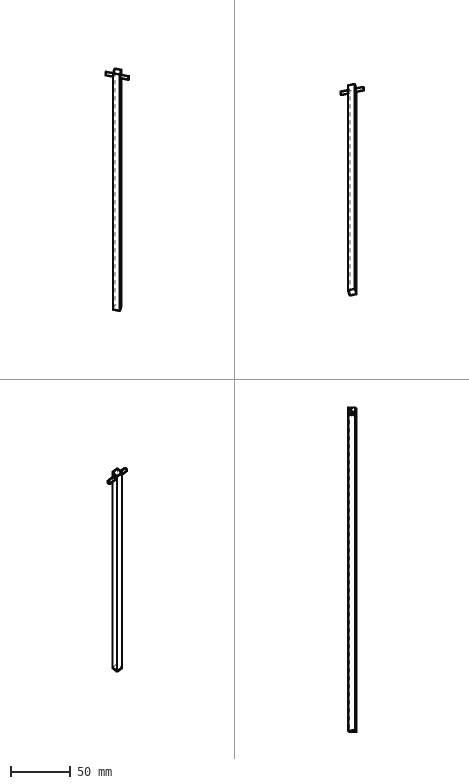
import cadquery as cq

bar_length = 280.0
bar_width = 6.0

pin_length = 20.0
pin_diameter = 3.0
pin_depth = 5.0

bar = cq.Workplane("XY").box(bar_width, bar_width, bar_length)

pin_height = bar_length / 2 - pin_depth
pin = (
    cq.Workplane("YZ")
    .center(0, pin_height)
    .circle(pin_diameter / 2)
    .extrude(pin_length / 2, both=True)
)

result = bar.union(pin)